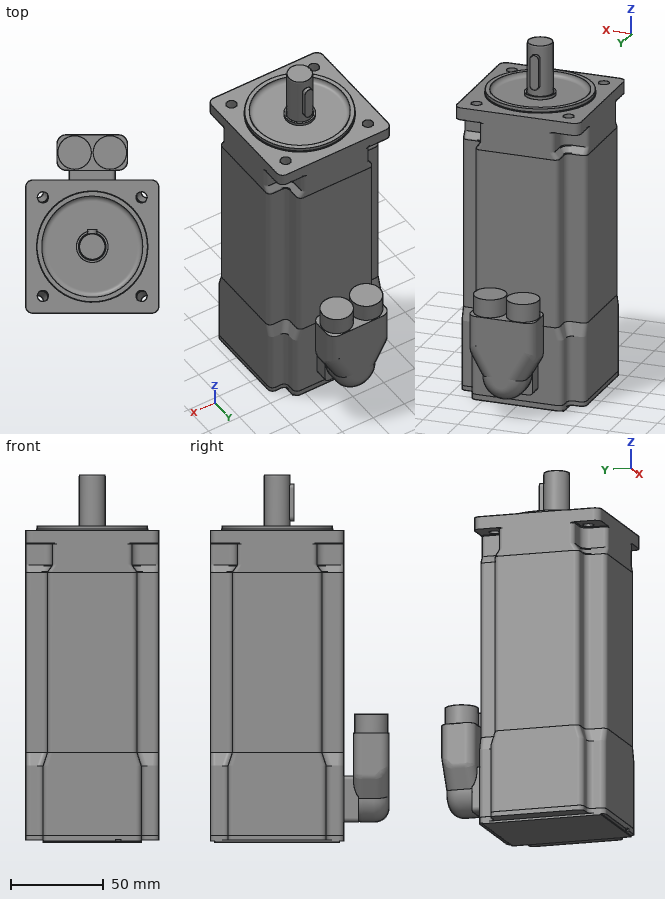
import cadquery as cq
import math

total_height = 198.2
frame_width = 72.0
half_width = frame_width / 2
total_depth = 96.3

cover_top = 3.8
housing_taper_bottom = 41.2
housing_top = 48.5
stator_top = 145.5
pocket_floor = 149.6
pocket_height = 11.3
bend_height = 0.5
shaft_length = 30.0
plate_top = total_height - shaft_length
plate_thickness = 7.0
plate_bottom = plate_top - plate_thickness

housing_notch = (9.5, 3.0, 3.0)
stator_notch = (11.9, 3.0, 2.8)
pocket_notch = (14.5, 4.5, 2.4)
pocket_ceiling_notch = (13.9, 4.5, 1.8)
neck_upper_bend_notch = (14.3, 4.4, 2.4)
neck_lower_bend_notch = (12.0, 3.2, 2.8)

plate_corner_radius = 4.0
bolt_offset = 26.5
bolt_hole_diameter = 6.0
pilot_diameter = 60.0
pilot_height = 2.4
pilot_rim_diameter = 59.5
pilot_step_height = 0.5
dish_diameter = 54.5
dish_depth = 3.0
dish_fillet = 2.8
collar_diameter = 17.0
collar_height = 1.5
collar_bore_diameter = 14.9
pilot_top = plate_top + pilot_height
dish_floor = pilot_top - dish_depth

shaft_diameter = 14.0
shaft_tip_diameter = 13.7
shaft_chamfer_height = 1.0
key_width = 5.0
key_length = 20.0
key_inner_y = 4.0
key_outer_y = 9.1
key_middle_z = plate_top + shaft_length / 2

side_arm_bottom = 1.2
front_arm_bottom = 0.5
pad_half_length = 33.7
edge_notch_x = 14.0
edge_notch_diameter = 3.0
edge_notch_top = 1.5

connector_width = 38.0
connector_depth = 19.2
connector_corner_radius = 5.0
connector_outer_y = total_depth - half_width
connector_inner_y = connector_outer_y - connector_depth
connector_top = 58.9
elbow_taper_top = 35.0
elbow_taper_bottom = 23.5
elbow_outer_radius = 7.7
elbow_bend_radius = 5.0
foot_size = 25.0
foot_corner_radius = 2.2
foot_bottom = 11.0
foot_end_y = 44.0
plug_diameter = 18.0
plug_spacing = 19.0
plug_top = 69.2


def notched_square(workplane, notch):
    """Square outline whose four corners are cut by rounded L-shaped notches."""
    depth, inside_radius, outside_radius = notch
    wall = half_width - depth
    diagonal = math.sqrt(0.5)

    def turned(point, quarter_turns):
        x, y = point
        for _ in range(quarter_turns):
            x, y = -y, x
        return x, y

    def corner_arc(center_x, center_y, radius, mid_x, mid_y, end_x, end_y):
        middle = (center_x + radius * diagonal * mid_x, center_y + radius * diagonal * mid_y)
        end = (center_x + radius * end_x, center_y + radius * end_y)
        return middle, end

    outer_center = half_width - outside_radius
    step_center = wall - outside_radius
    inside_center = wall + inside_radius
    outline = workplane.moveTo(half_width, -step_center)
    for quarter in range(4):
        arcs = [
            corner_arc(outer_center, step_center, outside_radius, 1, 1, 0, 1),
            corner_arc(inside_center, inside_center, inside_radius, -1, -1, -1, 0),
            corner_arc(step_center, outer_center, outside_radius, 1, 1, 0, 1),
        ]
        starts = [
            (half_width, step_center),
            (inside_center, wall),
            (wall, outer_center),
        ]
        for start, (middle, end) in zip(starts, arcs):
            outline = outline.lineTo(*turned(start, quarter))
            outline = outline.threePointArc(turned(middle, quarter), turned(end, quarter))
    return outline.close()


def notched_bar(bottom, top, notch):
    """Straight stretch of the motor body."""
    return notched_square(cq.Workplane().workplane(offset=bottom), notch).extrude(top - bottom)


def notched_taper(bottom, top, bottom_notch, top_notch):
    """Stretch of the motor body in which the corner notches change size."""
    lower = notched_square(cq.Workplane().workplane(offset=bottom), bottom_notch)
    upper = notched_square(lower.workplane(offset=top - bottom), top_notch)
    return upper.loft(ruled=True)


def cylinder(diameter, bottom, top):
    return cq.Workplane().workplane(offset=bottom).circle(diameter / 2).extrude(top - bottom)


def cone(bottom_diameter, top_diameter, bottom, top):
    base = cq.Workplane().workplane(offset=bottom).circle(bottom_diameter / 2)
    return base.workplane(offset=top - bottom).circle(top_diameter / 2).loft(ruled=True)


def box_between(x_range, y_range, z_range):
    sizes = [high - low for low, high in (x_range, y_range, z_range)]
    return cq.Workplane().box(*sizes, centered=False).translate((x_range[0], y_range[0], z_range[0]))


def make_flange():
    neck_stations = [
        (stator_top, stator_notch),
        (stator_top + bend_height, neck_lower_bend_notch),
        (pocket_floor - bend_height, neck_upper_bend_notch),
        (pocket_floor, pocket_notch),
    ]
    pocket_top = pocket_floor + pocket_height
    neck = notched_bar(pocket_floor, pocket_top, pocket_notch)
    for (low, low_notch), (high, high_notch) in zip(neck_stations, neck_stations[1:]):
        neck = neck.union(notched_taper(low, high, low_notch, high_notch))
    neck = neck.union(notched_taper(pocket_top, plate_bottom, pocket_notch, pocket_ceiling_notch))
    plate = (
        cq.Workplane()
        .workplane(offset=plate_bottom)
        .rect(frame_width, frame_width)
        .extrude(plate_thickness)
        .edges("|Z")
        .fillet(plate_corner_radius)
    )
    bolt_holes = (
        cq.Workplane()
        .workplane(offset=plate_bottom)
        .rect(2 * bolt_offset, 2 * bolt_offset, forConstruction=True)
        .vertices()
        .circle(bolt_hole_diameter / 2)
        .extrude(plate_thickness)
    )
    pilot = cylinder(pilot_diameter, plate_top, plate_top + pilot_step_height)
    pilot = pilot.union(cylinder(pilot_rim_diameter, plate_top, pilot_top))
    dish = cylinder(dish_diameter, dish_floor, pilot_top).edges("<Z").fillet(dish_fillet)
    collar_top = dish_floor + collar_height
    collar = cylinder(collar_diameter, dish_floor, collar_top)
    collar = collar.cut(cylinder(collar_bore_diameter, dish_floor, collar_top))
    shaft_bore = cylinder(shaft_diameter, stator_top, dish_floor)
    flange = neck.union(plate.cut(bolt_holes)).union(pilot)
    return flange.cut(dish).union(collar).cut(shaft_bore)


def make_stator():
    return notched_bar(housing_top, stator_top, stator_notch)


def make_rear_housing():
    straight = notched_bar(cover_top, housing_taper_bottom, housing_notch)
    return straight.union(notched_taper(housing_taper_bottom, housing_top, housing_notch, stator_notch))


def make_rear_cover():
    wall = half_width - housing_notch[0]
    cover = notched_bar(0, cover_top, housing_notch)
    full = (-half_width, half_width)
    for side in (-1, 1):
        side_arm = sorted((side * wall, side * half_width))
        front_arm = sorted((side * pad_half_length, side * half_width))
        cover = cover.cut(box_between(side_arm, full, (0, side_arm_bottom)))
        cover = cover.cut(box_between(full, front_arm, (0, front_arm_bottom)))
    edge_notch = cylinder(edge_notch_diameter, 0, edge_notch_top)
    return cover.cut(edge_notch.translate((edge_notch_x, -half_width, 0)))


def make_key():
    return (
        cq.Workplane("XZ", origin=(0, key_outer_y, key_middle_z))
        .slot2D(key_length, key_width, 90)
        .extrude(key_outer_y - key_inner_y)
    )


def make_shaft(key):
    chamfer_bottom = total_height - shaft_chamfer_height
    tip = cone(shaft_diameter, shaft_tip_diameter, chamfer_bottom, total_height)
    return cylinder(shaft_diameter, stator_top, chamfer_bottom).union(tip).cut(key)


def make_connector():
    half = connector_width / 2
    foot_half = foot_size / 2
    box = (
        box_between((-half, half), (connector_inner_y, connector_outer_y), (foot_bottom, connector_top))
        .edges("|Z")
        .fillet(connector_corner_radius)
    )
    slope = (half - foot_half) / (elbow_taper_top - elbow_taper_bottom)
    reach = half + slope * (connector_top - elbow_taper_top)
    elbow = (
        cq.Workplane("XZ", origin=(0, connector_outer_y, 0))
        .moveTo(-foot_half, elbow_taper_bottom)
        .threePointArc((0, foot_bottom), (foot_half, elbow_taper_bottom))
        .lineTo(reach, connector_top)
        .lineTo(-reach, connector_top)
        .close()
        .extrude(connector_depth)
    )
    elbow = elbow.faces(">Y").edges("not >Z").fillet(elbow_outer_radius)
    elbow = elbow.faces("<Y").edges("not >Z").fillet(connector_corner_radius)
    foot = (
        box_between(
            (-foot_half, foot_half),
            (half_width, foot_end_y),
            (foot_bottom, foot_bottom + foot_size),
        )
        .edges("|Y")
        .fillet(foot_corner_radius)
    )
    body = box.intersect(elbow)
    bend_zone = cq.selectors.BoxSelector(
        (-half, connector_inner_y, elbow_taper_top - elbow_bend_radius / 2),
        (half, connector_outer_y, (elbow_taper_top + connector_top) / 2),
    )
    body = body.edges(bend_zone).edges("not |Z").fillet(elbow_bend_radius)
    connector = body.union(foot)
    plug_y = (connector_inner_y + connector_outer_y) / 2
    for side in (-1, 1):
        plug = cylinder(plug_diameter, connector_top, plug_top)
        connector = connector.union(plug.translate((side * plug_spacing / 2, plug_y, 0)))
    return connector


flange = make_flange()
stator = make_stator()
rear_housing = make_rear_housing()
rear_cover = make_rear_cover()
key = make_key()
shaft = make_shaft(key)
connector = make_connector()

result = cq.Compound.makeCompound(
    [
        flange.val(),
        stator.val(),
        rear_housing.val(),
        rear_cover.val(),
        shaft.val(),
        key.val(),
        connector.val(),
    ]
)